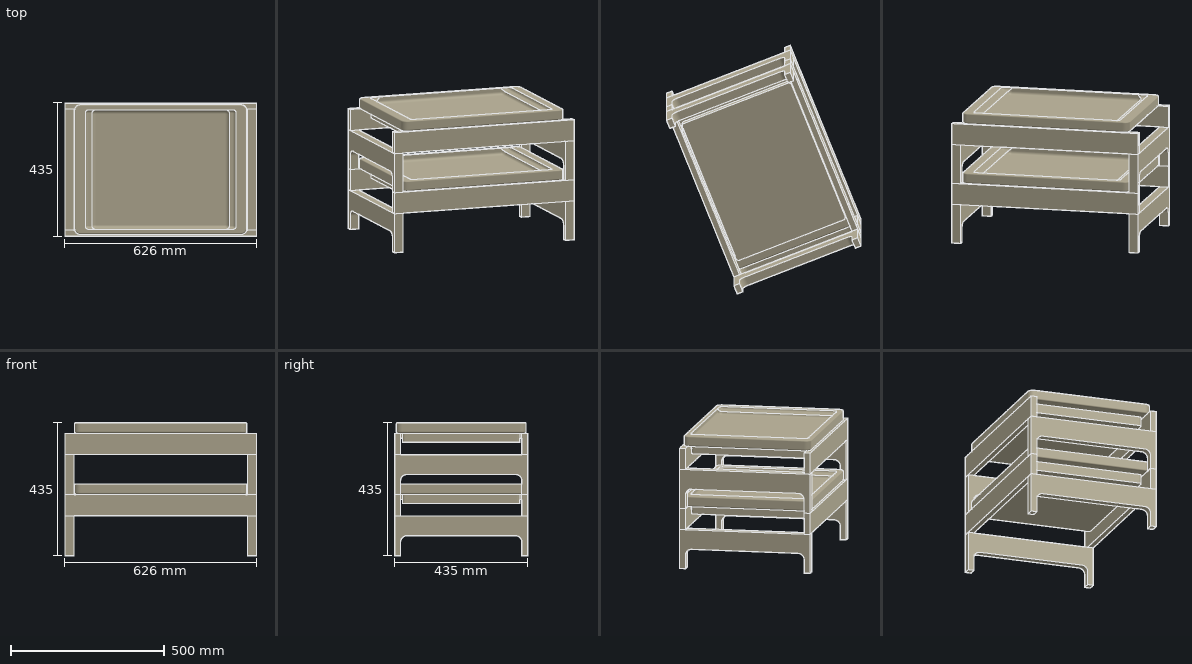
import cadquery as cq

length = 626.0
width = 435.0
total_height = 435.0
level_count = 2

rail_height = 70.0
rail_thickness = 20.0
frame_thickness = 30.0
leg_opening_height = 65.0
leg_opening_radius = 20.0

rim_length = 563.5
rim_width = 424.5
rim_height = 35.0
rim_corner_radius = 20.0
rim_edge_radius = 5.0

recess_width = 390.5
upper_recess_length = 492.5
upper_recess_depth = 12.5
upper_recess_radius = 11.0
deep_recess_length = 450.0
deep_recess_depth = 26.0
deep_recess_radius = 14.0

block_depth = 17.0
foot_width = 384.0
foot_bottom_depth = 30.0
foot_corner_radius = 9.5

level_height = (total_height - rim_height) / level_count
frame_height = level_height - rail_height
rail_gap = width - 2 * rail_thickness
block_length = deep_recess_length
foot_length = upper_recess_length


def make_end_frame(x_side, level_bottom):
    """Upright end panel whose arched opening leaves a leg at each Y end."""
    x_center = x_side * (length - frame_thickness) / 2
    panel = cq.Workplane("XY").box(frame_thickness, width, frame_height, centered=(True, True, False))
    opening = (
        cq.Workplane("XY")
        .box(frame_thickness, rail_gap, leg_opening_height, centered=(True, True, False))
        .edges("|X and >Z")
        .fillet(leg_opening_radius)
    )
    return panel.cut(opening).translate((x_center, 0, level_bottom))


def make_rail(y_side, level_bottom):
    """Full-length rail lying across the tops of both end frames."""
    y_center = y_side * (width - rail_thickness) / 2
    rail = cq.Workplane("XY").box(length, rail_thickness, rail_height, centered=(True, True, False))
    return rail.translate((0, y_center, level_bottom + frame_height))


def make_recess(recess_length, depth, radius):
    """Cutter with rounded corners and a rounded floor edge, open at the rim's top face."""
    return (
        cq.Workplane("XY")
        .box(recess_length, recess_width, depth, centered=(True, True, False))
        .edges("|Z or <Z")
        .fillet(radius)
        .translate((0, 0, rim_height - depth))
    )


def make_tray(level_bottom):
    """Tray with its rim's underside at the top of the rails."""
    rim = (
        cq.Workplane("XY")
        .box(rim_length, rim_width, rim_height, centered=(True, True, False))
        .edges("|Z")
        .fillet(rim_corner_radius)
        .faces("<Z or >Z")
        .edges()
        .fillet(rim_edge_radius)
    )
    block = (
        cq.Workplane("XY")
        .workplane(offset=-block_depth)
        .box(block_length, rail_gap, block_depth, centered=(True, True, False))
    )
    foot = (
        cq.Workplane("XY")
        .workplane(offset=-foot_bottom_depth)
        .box(foot_length, foot_width, foot_bottom_depth, centered=(True, True, False))
        .edges("|Z")
        .fillet(foot_corner_radius)
    )
    upper_recess = make_recess(upper_recess_length, upper_recess_depth, upper_recess_radius)
    deep_recess = make_recess(deep_recess_length, deep_recess_depth, deep_recess_radius)
    tray = rim.union(block).union(foot).cut(upper_recess).cut(deep_recess)
    return tray.translate((0, 0, level_bottom + level_height))


bodies = []
for level in range(level_count):
    level_bottom = level * level_height
    for side in (-1, 1):
        bodies.append(make_end_frame(side, level_bottom).val())
        bodies.append(make_rail(side, level_bottom).val())
    bodies.append(make_tray(level_bottom).val())

result = cq.Compound.makeCompound(bodies)